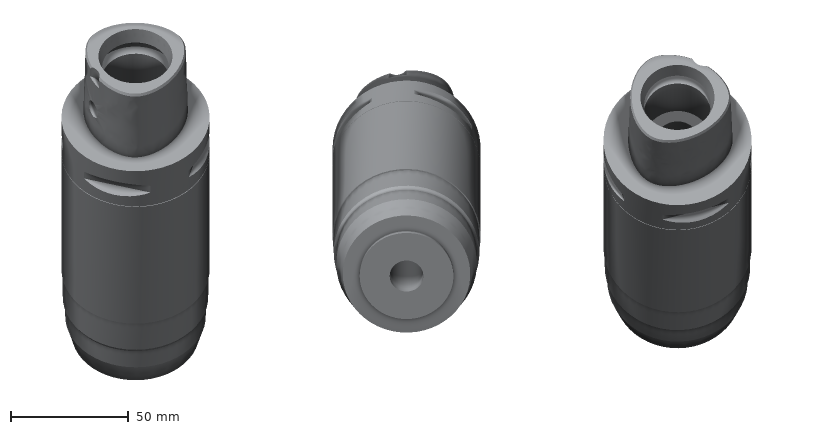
import cadquery as cq
import math

TOTAL_HEIGHT = 175.0
BODY_RADIUS = 31.5
FLANGE_TOP = 137.0

NOSE_RADIUS = 20.0
NOSE_HEIGHT = 2.1
CONE_BOTTOM_RADIUS = 27.1
CONE_TOP = 13.1
COLLAR_RADIUS = 30.0
COLLAR_TOP = 23.3
SLEEVE_RADIUS = 31.0
SLEEVE_BOTTOM = 25.2
SLEEVE_TOP = 42.0
RING_GROOVE_Z = 115.0
RING_GROOVE_WIDTH = 0.4
RING_GROOVE_DEPTH = 0.26

SHANK_BASE_RADIUS = 22.2
SHANK_TOP_RADIUS = 21.4
LOBE_HEIGHT = 1.2
LOBE_COUNT = 3
LOBE_DIRECTION = math.pi / 2
SHANK_CHAMFER_HEIGHT = 1.0
SHANK_CHAMFER_WIDTH = 0.7

GRIP_COUNT = 4
GRIP_FLOOR_DISTANCE = 27.8
GRIP_FLOOR_Z = 125.1
GRIP_FLOOR_WIDTH = 4.2
GRIP_WALL_ANGLE = math.radians(30)

MOUTH_RADIUS = 15.8
THROAT_RADIUS = 14.2
MOUTH_DEPTH = 6.6
UNDERCUT_RADIUS = 18.4
UNDERCUT_START = 11.5
UNDERCUT_END = 13.6
BORE_DEPTH = 38.0
STEP_RADIUS = 9.1
STEP_DEPTH = 45.5
THROUGH_RADIUS = 7.2

NOTCH_RADIUS = 5.2
NOTCH_DEPTH = 6.0
NOTCH_WALL_DISTANCE = 18.2
RECESS_RADIUS = 4.0
RECESS_Z = 152.6
RECESS_FLOOR_DISTANCE = 15.8


def lobed_outline(mean_radius):
    """Closed three-lobed curve of constant width, with one lobe toward +Y."""

    def point(t):
        angle = 2 * math.pi * t
        lobe_angle = LOBE_COUNT * (angle - LOBE_DIRECTION)
        reach = mean_radius + LOBE_HEIGHT * math.cos(lobe_angle)
        slope = -LOBE_COUNT * LOBE_HEIGHT * math.sin(lobe_angle)
        return (
            reach * math.cos(angle) - slope * math.sin(angle),
            reach * math.sin(angle) + slope * math.cos(angle),
        )

    return cq.Workplane("XY").parametricCurve(point, N=72).val()


def lobed_taper(bottom_z, bottom_radius, top_z, top_radius):
    bottom = lobed_outline(bottom_radius).translate(cq.Vector(0, 0, bottom_z))
    top = lobed_outline(top_radius).translate(cq.Vector(0, 0, top_z))
    return cq.Workplane(cq.Solid.makeLoft([bottom, top], True))


def turned_body():
    groove_bottom = RING_GROOVE_Z - RING_GROOVE_WIDTH / 2
    groove_top = RING_GROOVE_Z + RING_GROOVE_WIDTH / 2
    groove_radius = BODY_RADIUS - RING_GROOVE_DEPTH
    profile = [
        (0, 0),
        (NOSE_RADIUS, 0),
        (NOSE_RADIUS, NOSE_HEIGHT),
        (CONE_BOTTOM_RADIUS, NOSE_HEIGHT),
        (COLLAR_RADIUS, CONE_TOP),
        (COLLAR_RADIUS, COLLAR_TOP),
        (SLEEVE_RADIUS, SLEEVE_BOTTOM),
        (SLEEVE_RADIUS, SLEEVE_TOP),
        (BODY_RADIUS, SLEEVE_TOP),
        (BODY_RADIUS, groove_bottom),
        (groove_radius, groove_bottom),
        (groove_radius, groove_top),
        (BODY_RADIUS, groove_top),
        (BODY_RADIUS, FLANGE_TOP),
        (0, FLANGE_TOP),
    ]
    return cq.Workplane("XZ").polyline(profile).close().revolve(360, (0, 0), (0, 1))


def shank():
    chamfer_z = TOTAL_HEIGHT - SHANK_CHAMFER_HEIGHT
    end_radius = SHANK_TOP_RADIUS - SHANK_CHAMFER_WIDTH
    taper = lobed_taper(FLANGE_TOP, SHANK_BASE_RADIUS, chamfer_z, SHANK_TOP_RADIUS)
    chamfer = lobed_taper(chamfer_z, SHANK_TOP_RADIUS, TOTAL_HEIGHT, end_radius)
    return taper.union(chamfer)


def bore():
    throat_z = TOTAL_HEIGHT - MOUTH_DEPTH
    undercut_top = TOTAL_HEIGHT - UNDERCUT_START
    undercut_bottom = TOTAL_HEIGHT - UNDERCUT_END
    bore_floor = TOTAL_HEIGHT - BORE_DEPTH
    step_floor = TOTAL_HEIGHT - STEP_DEPTH
    profile = [
        (0, TOTAL_HEIGHT),
        (MOUTH_RADIUS, TOTAL_HEIGHT),
        (THROAT_RADIUS, throat_z),
        (UNDERCUT_RADIUS, undercut_top),
        (UNDERCUT_RADIUS, undercut_bottom),
        (THROAT_RADIUS, undercut_bottom),
        (THROAT_RADIUS, bore_floor),
        (STEP_RADIUS, bore_floor),
        (STEP_RADIUS, step_floor),
        (THROUGH_RADIUS, step_floor),
        (THROUGH_RADIUS, 0),
        (0, 0),
    ]
    return cq.Workplane("XZ").polyline(profile).close().revolve(360, (0, 0), (0, 1))


def grip_groove(direction):
    """Flat-floored groove with sloping walls, cut straight across the flange edge."""
    depth = BODY_RADIUS - GRIP_FLOOR_DISTANCE
    half_floor = GRIP_FLOOR_WIDTH / 2
    half_mouth = half_floor + depth * math.tan(GRIP_WALL_ANGLE)
    profile = [
        (GRIP_FLOOR_DISTANCE, GRIP_FLOOR_Z - half_floor),
        (BODY_RADIUS, GRIP_FLOOR_Z - half_mouth),
        (BODY_RADIUS, GRIP_FLOOR_Z + half_mouth),
        (GRIP_FLOOR_DISTANCE, GRIP_FLOOR_Z + half_floor),
    ]
    groove = cq.Workplane("XZ").polyline(profile).close().extrude(BODY_RADIUS, both=True)
    return groove.rotate((0, 0, 0), (0, 0, 1), direction)


def key_notch():
    """Upright round cut from the shank end, centred outside the shank."""
    center_y = -(NOTCH_WALL_DISTANCE + NOTCH_RADIUS)
    plane = cq.Workplane("XY", origin=(0, center_y, TOTAL_HEIGHT))
    return plane.circle(NOTCH_RADIUS).extrude(-NOTCH_DEPTH)


def round_recess():
    plane = cq.Workplane("XZ", origin=(0, -RECESS_FLOOR_DISTANCE, RECESS_Z))
    return plane.circle(RECESS_RADIUS).extrude(BODY_RADIUS)


result = turned_body().union(shank()).cut(bore())
for index in range(GRIP_COUNT):
    result = result.cut(grip_groove((index + 0.5) * 360 / GRIP_COUNT))
result = result.cut(key_notch()).cut(round_recess())